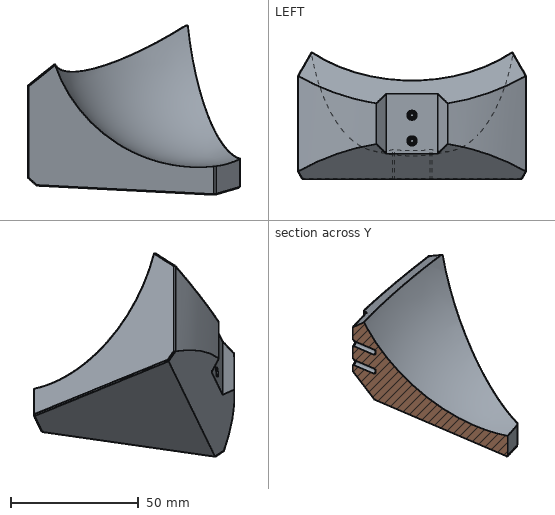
import cadquery as cq
import math

wedge_half_angle = math.radians(30)
outer_radius = 90.0
nose_distance = 13.1
body_height = 62.65

recess_floor_distance = 85.2
recess_floor_half_width = 10.1
recess_mouth_half_width = 14.0

mouth_distance = math.sqrt(outer_radius**2 - recess_mouth_half_width**2)
lower_slope_height = 13.9
upper_slope_height = 29.8

bowl_radius = 59.2
bowl_center_distance = 28.7
bowl_center_height = 68.4

edge_chamfer = 0.5

hole_diameter = 2.5
hole_mouth_diameter = 3.8
hole_tip_diameter = 1.5
hole_depth = 10.0
hole_heights = (15.1, 25.15)


def make_wedge():
    """Truncated sector with a curved outer wall, pointing along +X."""
    nose_half_width = nose_distance * math.tan(wedge_half_angle)
    corner_x = -outer_radius * math.cos(wedge_half_angle)
    corner_y = outer_radius * math.sin(wedge_half_angle)
    return (
        cq.Workplane("XY")
        .moveTo(-nose_distance, -nose_half_width)
        .lineTo(-nose_distance, nose_half_width)
        .lineTo(corner_x, corner_y)
        .threePointArc((-outer_radius, 0), (corner_x, -corner_y))
        .close()
        .extrude(body_height)
    )


def make_slope_envelope():
    """Side profile that bevels the outer wall above and below at 45 degrees."""
    tip_run = (upper_slope_height - lower_slope_height) / 2
    tip_height = lower_slope_height + tip_run
    upper_run = body_height - upper_slope_height
    return (
        cq.Workplane("XZ")
        .moveTo(0, 0)
        .lineTo(-mouth_distance + lower_slope_height, 0)
        .lineTo(-mouth_distance - tip_run, tip_height)
        .lineTo(-mouth_distance + upper_run, body_height)
        .lineTo(0, body_height)
        .close()
        .extrude(outer_radius, both=True)
    )


def make_recess():
    """Flat-floored channel with flared sides, open at both slopes."""
    flare = (recess_mouth_half_width - recess_floor_half_width) / (mouth_distance - recess_floor_distance)
    outside = 2 * outer_radius - recess_floor_distance
    outside_half_width = recess_floor_half_width + flare * (outside - recess_floor_distance)
    return (
        cq.Workplane("XY")
        .moveTo(-recess_floor_distance, -recess_floor_half_width)
        .lineTo(-recess_floor_distance, recess_floor_half_width)
        .lineTo(-outside, outside_half_width)
        .lineTo(-outside, -outside_half_width)
        .close()
        .extrude(body_height)
    )


def make_bowl():
    return cq.Workplane("XY").sphere(bowl_radius).translate((-bowl_center_distance, 0, bowl_center_height))


def make_screw_hole(height):
    """Blind hole with a 45 degree countersunk mouth and a tapered, flat-ended tip."""
    hole_radius = hole_diameter / 2
    mouth_radius = hole_mouth_diameter / 2
    tip_radius = hole_tip_diameter / 2
    profile = (
        cq.Workplane("XY")
        .moveTo(0, 0)
        .lineTo(0, mouth_radius)
        .lineTo(mouth_radius - hole_radius, hole_radius)
        .lineTo(hole_depth, hole_radius)
        .lineTo(hole_depth + hole_radius - tip_radius, tip_radius)
        .lineTo(hole_depth + hole_radius - tip_radius, 0)
        .close()
    )
    hole = profile.revolve(360, (0, 0, 0), (1, 0, 0))
    return hole.translate((-recess_floor_distance, 0, height))


body = make_wedge().intersect(make_slope_envelope())
chamfered_edges = body.faces(">X").edges("<Z")
side_normal_x = math.sin(wedge_half_angle)
side_normal_y = math.cos(wedge_half_angle)
for side in (-1, 1):
    flank = cq.Vector(side_normal_x, side * side_normal_y, 0)
    flank_face = body.faces(cq.selectors.DirectionMinMaxSelector(flank))
    chamfered_edges = chamfered_edges.add(flank_face.edges())
body = body.newObject(chamfered_edges.vals()).chamfer(edge_chamfer)

result = body.cut(make_recess()).cut(make_bowl())
for hole_height in hole_heights:
    result = result.cut(make_screw_hole(hole_height))